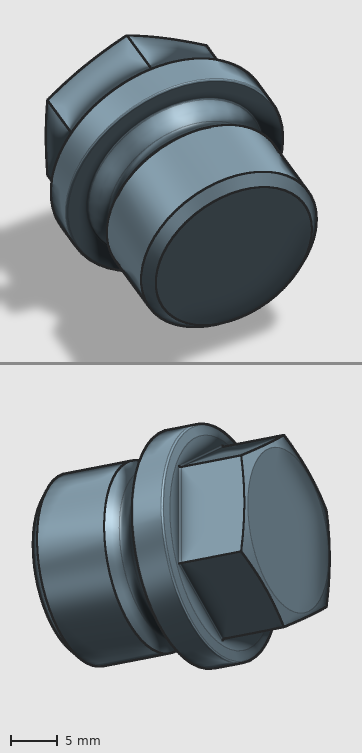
import cadquery as cq
import math


total_length = 26.0

hex_across_flats = 19.0
head_face_radius = 9.0
head_chamfer_slope = math.radians(15)

flange_radius = 13.0
flange_start = 8.0
flange_end = 12.0
flange_flat_radius = 11.7
flange_slope = math.radians(8)
edge_radius = 0.2

neck_radius = 9.02
neck_arc_radius = 1.0
neck_flange_angle = math.radians(30)
neck_shank_angle = math.radians(45)

shank_radius = 10.5
shank_start = 16.67
shank_end_chamfer = 1.17

tolerance = 0.003

hex_corner_radius = hex_across_flats / 2 / math.cos(math.radians(30))
flange_rim_start = flange_start + (flange_radius - flange_flat_radius) * math.tan(flange_slope)

arc_center_r = neck_radius + neck_arc_radius
shank_tangent_r = arc_center_r - neck_arc_radius * math.cos(neck_shank_angle)
shank_tangent_x = shank_start - (shank_radius - shank_tangent_r) / math.tan(neck_shank_angle)
arc_center_x = shank_tangent_x - neck_arc_radius * math.sin(neck_shank_angle)

flange_tangent_r = arc_center_r - neck_arc_radius * math.cos(neck_flange_angle)
flange_tangent_x = arc_center_x - neck_arc_radius * math.sin(neck_flange_angle)
neck_root_radius = flange_tangent_r + (flange_tangent_x - flange_end) * math.tan(neck_flange_angle)


def revolve_about_x(profile):
    """Turn a closed (x, radius) profile fully around the X axis."""
    return profile.close().revolve(360, (0, 0, 0), (1, 0, 0))


def round_circle(body, x, radius):
    """Fillet the circular edge of the given radius at the given X."""

    def matches(edge):
        at_x = abs(edge.Center().x - x) < tolerance
        return at_x and abs(edge.radius() - radius) < tolerance

    return body.edges("%CIRCLE").filter(matches).fillet(edge_radius)


def make_turned_body():
    """Flange, neck and shank in one turned piece, with small fillets at the flange."""
    profile = (
        cq.Workplane("XY")
        .moveTo(flange_start, 0)
        .lineTo(flange_start, flange_flat_radius)
        .lineTo(flange_rim_start, flange_radius)
        .lineTo(flange_end, flange_radius)
        .lineTo(flange_end, neck_root_radius)
        .lineTo(flange_tangent_x, flange_tangent_r)
        .threePointArc((arc_center_x, neck_radius), (shank_tangent_x, shank_tangent_r))
        .lineTo(shank_start, shank_radius)
        .lineTo(total_length - shank_end_chamfer, shank_radius)
        .lineTo(total_length, shank_radius - shank_end_chamfer)
        .lineTo(total_length, 0)
    )
    body = revolve_about_x(profile)
    body = round_circle(body, flange_rim_start, flange_radius)
    body = round_circle(body, flange_end, flange_radius)
    return round_circle(body, flange_end, neck_root_radius)


def make_head():
    """Hexagonal prism with corners on +Z and -Z, its outer end turned to a shallow cone."""
    prism = (
        cq.Workplane("YZ")
        .polygon(6, 2 * hex_corner_radius)
        .extrude(flange_start)
        .rotate((0, 0, 0), (1, 0, 0), 90)
    )
    cone_length = (flange_radius - head_face_radius) * math.tan(head_chamfer_slope)
    envelope = revolve_about_x(
        cq.Workplane("XY")
        .moveTo(0, 0)
        .lineTo(0, head_face_radius)
        .lineTo(cone_length, flange_radius)
        .lineTo(flange_start, flange_radius)
        .lineTo(flange_start, 0)
    )
    return prism.intersect(envelope)


def fillet_head_base(body):
    """Fillet the six straight edges where the head stands on the flange."""
    return (
        body.edges("%LINE")
        .filter(lambda edge: abs(edge.Center().x - flange_start) < tolerance)
        .fillet(edge_radius)
    )


result = fillet_head_base(make_turned_body().union(make_head()))